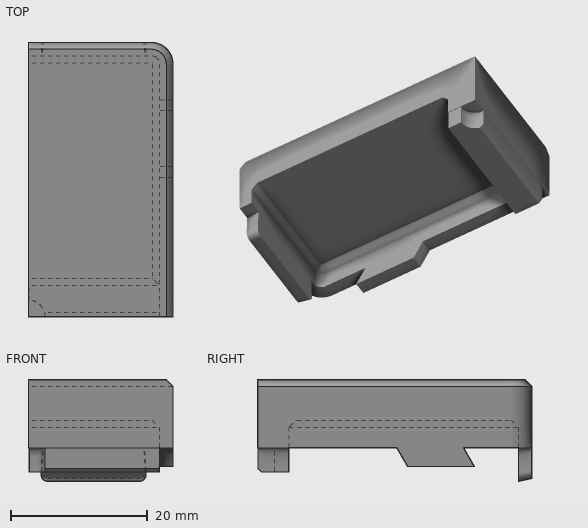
import cadquery as cq
import math

length_x = 21.2
length_y = 40.2
body_height = 10.0
corner_radius = 3.2
top_chamfer = 1.0

wall = 2.0
front_wall = 4.6
pocket_depth = 4.0
pocket_chamfer = 1.0
pocket_corner_radius = 1.1

foot_height = 3.55
foot_side_inset = 0.1
foot_front_inset = 0.05
foot_chamfer = 0.55
foot_notch_radius = 2.45

hook_height = 2.75
hook_length = 9.8
hook_start_y = 20.4
hook_lean = 30.0

tongue_drop = 4.91
tongue_start_x = 1.8
tongue_width = 15.5
tongue_top_taper = 0.25
tongue_back_taper = 0.12
tongue_slope = 12.0
tongue_corner_radius = 1.0

pocket_end_x = length_x - wall
pocket_end_y = length_y - wall


def make_body():
    body = cq.Workplane("XY").box(length_x, length_y, body_height, centered=False)
    body = body.edges("|Z and >X and >Y").fillet(corner_radius)
    rounded_rim = body.faces(">Z").edges("not(<X or <Y)")
    return rounded_rim.chamfer(top_chamfer)


def make_pocket():
    overrun = 2 * pocket_chamfer
    pocket = cq.Workplane("XY").box(
        pocket_end_x + overrun, pocket_end_y - front_wall, pocket_depth, centered=False
    )
    pocket = pocket.translate((-overrun, front_wall, 0))
    pocket = pocket.edges("|Z and >X and >Y").fillet(pocket_corner_radius)
    return pocket.faces(">Z").edges("not <X").chamfer(pocket_chamfer)


def make_foot():
    foot = cq.Workplane("XY").box(
        pocket_end_x - foot_side_inset, front_wall - foot_front_inset, foot_height, centered=False
    )
    foot = foot.translate((foot_side_inset, foot_front_inset, -foot_height))
    foot = foot.edges("<Y and <Z").chamfer(foot_chamfer)
    notch = cq.Workplane("XY").circle(foot_notch_radius).extrude(-foot_height)
    return foot.cut(notch)


def make_hook():
    lean = hook_height * math.tan(math.radians(hook_lean))
    end_y = hook_start_y + hook_length
    profile = [
        (hook_start_y, 0),
        (end_y, 0),
        (end_y + lean, -hook_height),
        (hook_start_y + lean, -hook_height),
    ]
    hook = cq.Workplane("YZ").polyline(profile).close().extrude(wall)
    return hook.translate((pocket_end_x, 0, 0))


def tongue_section(top_width, bottom_width, drop):
    corners = [
        (-top_width / 2, 0),
        (top_width / 2, 0),
        (bottom_width / 2, -drop),
        (-bottom_width / 2, -drop),
        (-top_width / 2, 0),
    ]
    return cq.Sketch().polygon(corners).vertices("<Y").fillet(tongue_corner_radius)


def make_tongue():
    rise = wall * math.tan(math.radians(tongue_slope))
    inner_section = tongue_section(
        tongue_width - 2 * tongue_top_taper, tongue_width, tongue_drop
    )
    outer_section = tongue_section(
        tongue_width - 2 * (tongue_top_taper + tongue_back_taper),
        tongue_width - 2 * tongue_back_taper,
        tongue_drop - rise,
    )
    back_section = outer_section.moved(cq.Location(cq.Vector(0, 0, -wall)))
    tongue = cq.Workplane("XZ").placeSketch(inner_section, back_section).loft(ruled=True)
    return tongue.translate((tongue_start_x + tongue_width / 2, pocket_end_y, 0))


result = make_body().cut(make_pocket())
for lower_feature in (make_foot(), make_hook(), make_tongue()):
    result = result.union(lower_feature)